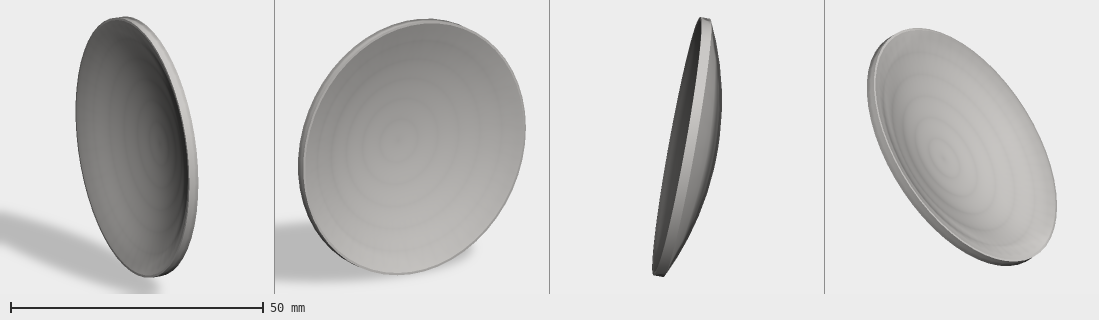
import cadquery as cq

outer_diameter = 52.0
total_depth = 8.0
rim_depth = 2.0
wall_thickness = 2.0

outer_radius = outer_diameter / 2
dome_rise = total_depth - rim_depth
dome_radius = (outer_radius**2 + dome_rise**2) / (2 * dome_rise)
dome_center_y = total_depth - dome_radius

hollow_radius = dome_radius - wall_thickness


def sphere_on_dome_center(radius):
    """Full sphere about the common centre of the dome and the hollow."""
    return cq.Workplane("XZ").sphere(radius).translate((0, dome_center_y, 0))


blank = cq.Workplane("XZ").circle(outer_radius).extrude(-total_depth)

domed_blank = blank.intersect(sphere_on_dome_center(dome_radius))
result = domed_blank.cut(sphere_on_dome_center(hollow_radius))